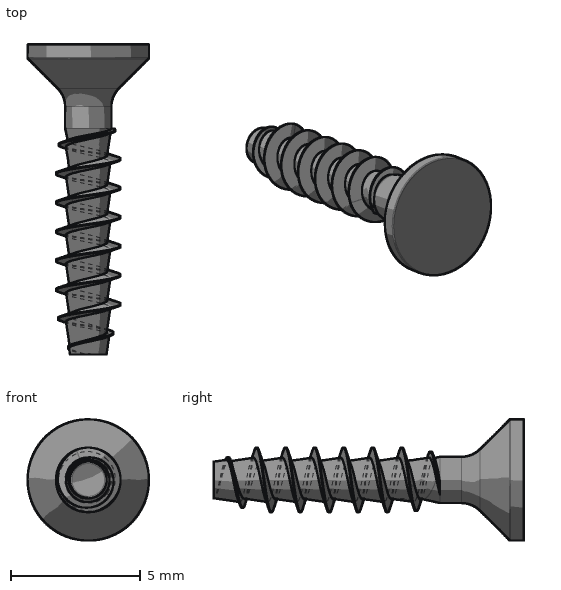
import cadquery as cq
import math


length = 12.0
head_radius = 2.35
head_rim_depth = 0.545
head_half_angle = 45.0
head_top_round = 0.04
head_edge_round = 0.06
shank_radius = 0.9
neck_round = 1.0
thread_start_depth = 3.25

core_radius = 0.69
tip_radius = 0.71
ramp_top_radius = 0.88
ramp_slope = 0.147
lead_cone_slope = 0.22

dish_radius = 0.637
dish_depth = 0.04

pitch = 1.122
crest_radius = 1.25
crest_width = 0.035
flank_angle = 16.0
first_crest_depth = 3.32
lead_in_slope = 0.19
lead_in_end_depth = 4.4
run_out_slope = 0.355
run_out_start_depth = 10.4

buried_radius = 0.45
sweep_start_turn = -0.3
ramp_gap = 0.01
points_per_turn = 16
rib_overrun = 0.14
edge_search_margin = 0.05


def crest_depth(turn):
    return first_crest_depth + pitch * turn


def turn_at(depth):
    return (depth - first_crest_depth) / pitch


def crest_radius_at(depth):
    lead_in = lead_in_slope * max(0.0, lead_in_end_depth - depth)
    run_out = run_out_slope * max(0.0, depth - run_out_start_depth)
    return crest_radius - lead_in - run_out


def rib_section(turn):
    """Trapezoid of the thread rib as (radius, depth) corners."""
    depth = crest_depth(turn)
    top = crest_radius_at(depth)
    half_crest = crest_width / 2
    half_base = half_crest + (top - buried_radius) * math.tan(math.radians(flank_angle))
    return [
        (buried_radius, depth - half_base),
        (top, depth - half_crest),
        (top, depth + half_crest),
        (buried_radius, depth + half_base),
    ]


def ramp_section(turn):
    """One saw tooth of the core; the last turn follows the cone of the tip."""
    start = crest_depth(turn)
    end = start + pitch - ramp_gap
    top = min(ramp_top_radius, tip_radius + ramp_slope * (length - start))
    bottom = top - ramp_slope * (end - start)
    return [
        (buried_radius, start),
        (top, start),
        (bottom, end),
        (buried_radius, end),
    ]


def helical_solid(section, turn_stops):
    """Solid whose cross-section follows section(turn), in spans between the turn stops."""

    def corner(turn, index):
        radius, depth = section(turn)[index]
        angle = 2 * math.pi * turn
        return cq.Vector(radius * math.cos(angle), -depth, radius * math.sin(angle))

    corner_count = len(section(turn_stops[0]))
    faces = []
    for first, last in zip(turn_stops, turn_stops[1:]):
        steps = math.ceil((last - first) * points_per_turn) + 2
        turns = [first + (last - first) * i / steps for i in range(steps + 1)]
        edges = [
            cq.Edge.makeSpline([corner(turn, index) for turn in turns])
            for index in range(corner_count)
        ]
        for index in range(corner_count):
            faces.append(cq.Face.makeRuledSurface(edges[index - 1], edges[index]))
    for turn in (turn_stops[0], turn_stops[-1]):
        outline = cq.Wire.makePolygon([corner(turn, i) for i in range(corner_count)], close=True)
        faces.append(cq.Face.makeFromWires(outline))
    solid = cq.Solid.makeSolid(cq.Shell.makeShell(faces))
    return cq.Workplane(obj=solid.fix())


def rim_box(depth):
    """Selector for the circular head edge lying at the given depth."""
    corner = (-length, -depth - edge_search_margin, -length)
    opposite_corner = (length, -depth + edge_search_margin, length)
    return cq.selectors.BoxSelector(corner, opposite_corner, boundingbox=True)


def make_head_and_shank():
    """Countersunk head and smooth shank, ending in the short cone that leads down to the core."""
    bend = math.radians(head_half_angle)
    neck_top_radius = shank_radius + neck_round * (1 - math.cos(bend))
    neck_top_depth = head_rim_depth + (head_radius - neck_top_radius) / math.tan(bend)
    neck_end_depth = neck_top_depth + neck_round * math.sin(bend)
    half_bend = bend / 2
    lead_cone_end = thread_start_depth + (shank_radius - core_radius) / lead_cone_slope
    neck_mid = (
        shank_radius + neck_round * (1 - math.cos(half_bend)),
        -neck_end_depth + neck_round * math.sin(half_bend),
    )
    body = (
        cq.Workplane("XY")
        .lineTo(head_radius, 0)
        .lineTo(head_radius, -head_rim_depth)
        .lineTo(neck_top_radius, -neck_top_depth)
        .threePointArc(neck_mid, (shank_radius, -neck_end_depth))
        .lineTo(shank_radius, -thread_start_depth)
        .lineTo(core_radius, -lead_cone_end)
        .lineTo(0, -lead_cone_end)
        .close()
        .revolve(360, (0, 0, 0), (0, 1, 0))
    )
    rounded = body.edges(rim_box(head_rim_depth)).fillet(head_edge_round)
    return rounded.edges(rim_box(0)).fillet(head_top_round)


def cylinder(radius, start_depth, end_depth):
    start_plane = cq.Workplane("XZ", origin=(0, -start_depth, 0))
    return start_plane.circle(radius).extrude(end_depth - start_depth)


def make_threaded_zone():
    """Core, saw-tooth ramp and rib built overlong, then trimmed square at both ends."""
    run_out_length = (crest_radius - core_radius) / run_out_slope
    rib_end_depth = run_out_start_depth + run_out_length + rib_overrun
    rib_stops = [
        sweep_start_turn,
        turn_at(lead_in_end_depth),
        turn_at(run_out_start_depth),
        turn_at(rib_end_depth),
    ]
    last_full_ramp_depth = length - (ramp_top_radius - tip_radius) / ramp_slope
    ramp_stops = [sweep_start_turn, turn_at(last_full_ramp_depth), turn_at(length)]
    ramp = helical_solid(ramp_section, ramp_stops)
    rib = helical_solid(rib_section, rib_stops)
    core = cylinder(core_radius, thread_start_depth - pitch, length + pitch)
    trim = cylinder(head_radius, thread_start_depth, length)
    return core.union(ramp).union(rib).intersect(trim)


def make_tip_dish():
    axis = cq.Vector(0, 1, 0)
    cone = cq.Solid.makeCone(dish_radius, 0, dish_depth, cq.Vector(0, -length, 0), axis)
    return cq.Workplane(obj=cone)


result = make_head_and_shank().union(make_threaded_zone()).cut(make_tip_dish())